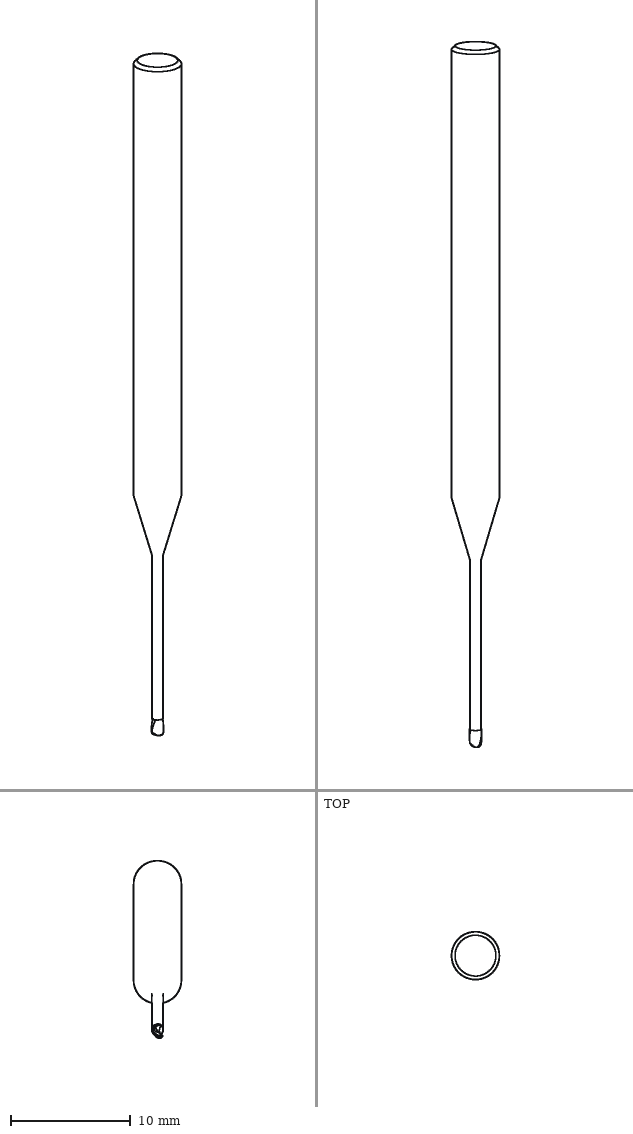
import cadquery as cq
import math

total_length = 60.0
shank_diameter = 4.0
shank_chamfer = 0.3
cone_top = 21.3
neck_top = 16.0
neck_diameter = 0.95

cutter_diameter = 1.0
cutter_length = 1.5
web_thickness = 0.3
corner_radius = 0.3
tip_blade_angle = 20.0
twist_angle = 65.0
end_relief_angle = 50.0
end_land_width = 0.25


def make_holder():
    """Chamfered shank, cone and thin neck, revolved as one body."""
    shank_radius = shank_diameter / 2
    neck_radius = neck_diameter / 2
    return (
        cq.Workplane("XZ")
        .moveTo(0, cutter_length)
        .lineTo(neck_radius, cutter_length)
        .lineTo(neck_radius, neck_top)
        .lineTo(shank_radius, cone_top)
        .lineTo(shank_radius, total_length - shank_chamfer)
        .lineTo(shank_radius - shank_chamfer, total_length)
        .lineTo(0, total_length)
        .close()
        .revolve(360, (0, 0, 0), (0, 1, 0))
    )


def make_cutter_envelope():
    """Round-cornered cylinder that the cutting edges sweep."""
    return (
        cq.Workplane("XY")
        .circle(cutter_diameter / 2)
        .extrude(cutter_length)
        .faces("<Z")
        .edges()
        .fillet(corner_radius)
    )


def make_twisted_web():
    """Flat two-edged blade, near the X axis at the tip and twisted towards Y as it rises."""
    return (
        cq.Workplane("XY")
        .rect(2 * cutter_diameter, web_thickness)
        .twistExtrude(cutter_length, twist_angle)
        .rotate((0, 0, 0), (0, 0, 1), tip_blade_angle)
    )


def make_end_relief():
    """Roof-shaped limit that slopes away from the end land on both Y sides."""
    slope = math.tan(math.radians(end_relief_angle))
    half_land = end_land_width / 2
    half_width = cutter_diameter
    relief_height = (half_width - half_land) * slope
    return (
        cq.Workplane("YZ")
        .moveTo(-half_land, 0)
        .lineTo(half_land, 0)
        .lineTo(half_width, relief_height)
        .lineTo(half_width, relief_height + cutter_length)
        .lineTo(-half_width, relief_height + cutter_length)
        .lineTo(-half_width, relief_height)
        .close()
        .extrude(cutter_diameter, both=True)
    )


def make_cutter():
    """Two-flute cutting tip."""
    return make_cutter_envelope().intersect(make_twisted_web()).intersect(make_end_relief())


holder = make_holder()
cutter = make_cutter()

result = cq.Compound.makeCompound([holder.val(), cutter.val()])